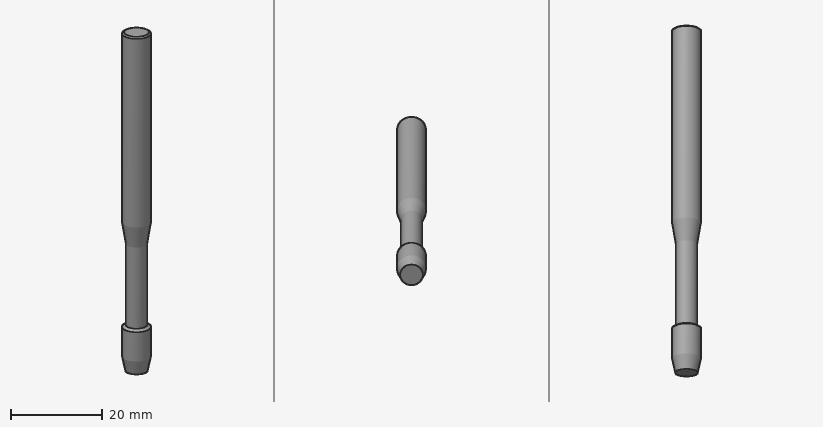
import cadquery as cq

total_length = 80.0
shank_diameter = 6.4
neck_diameter = 4.7

head_diameter = shank_diameter
tip_diameter = 5.0
tip_height = 3.4
head_land_top = 10.3
head_height = 10.8

neck_top = 30.0
shank_bottom = 35.0
end_chamfer_height = 0.3
end_chamfer_width = 0.5


def turned_body(profile):
    """Revolve (diameter, height) corners about Z, closing the outline along the axis."""
    bottom = profile[0][1]
    top = profile[-1][1]
    outline = [(0, bottom)]
    outline += [(diameter / 2, height) for diameter, height in profile]
    outline += [(0, top)]
    return cq.Workplane("XZ").polyline(outline).close().revolve(360, (0, 0, 0), (0, 1, 0))


def make_head():
    """Cutting head: tapered tip, cylindrical land and sloping shoulder up to the neck."""
    return turned_body([
        (tip_diameter, 0),
        (head_diameter, tip_height),
        (head_diameter, head_land_top),
        (neck_diameter, head_height),
    ])


def make_shank():
    """Neck resting on the head, widening through a cone to the chamfered shank."""
    return turned_body([
        (neck_diameter, head_height),
        (neck_diameter, neck_top),
        (shank_diameter, shank_bottom),
        (shank_diameter, total_length - end_chamfer_height),
        (shank_diameter - 2 * end_chamfer_width, total_length),
    ])


head = make_head()
shank = make_shank()

result = cq.Compound.makeCompound([head.val(), shank.val()])